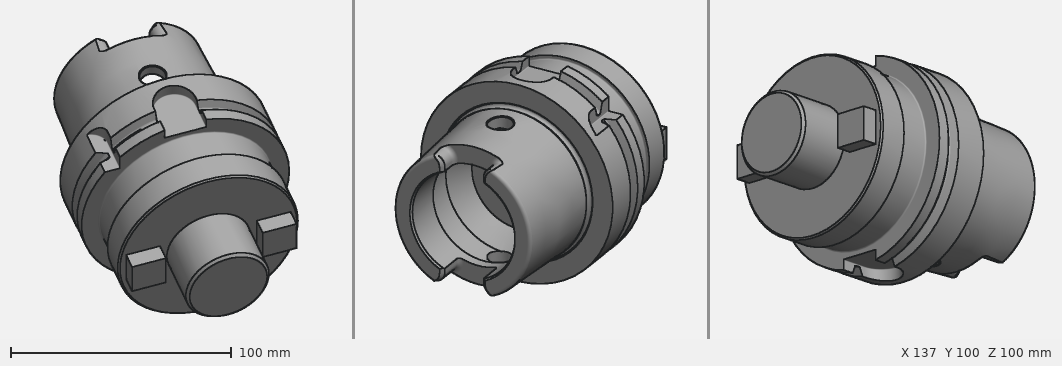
import cadquery as cq
import math


SHANK_TIP_R = 35.6
SHANK_BASE_R = 37.8
SHANK_TIP_ROUND = 1.8
SHANK_END = 47.4
NECK_R = 37.4
NECK_STEP = 0.8
NECK_FILLET = 1.4
UNDERCUT_R = 39.6
UNDERCUT_DEPTH = 0.5

FLANGE_START = 50.0
FLANGE_END = 79.0
FLANGE_R = 50.0
GROOVE_START = 66.5
GROOVE_END = 73.0
GROOVE_R = 46.0
GROOVE_FLOOR_START = 68.4
GROOVE_FLOOR_END = 71.2
GROOVE_FILLET = 1.0

BODY_R = 41.4
BODY_END = 95.5
BODY_FILLET = 0.7
COLLAR_R = 43.4
COLLAR_END = 110.0
COLLAR_CHAMFER = 0.8
PILOT_R = 20.0
PILOT_END = 137.0
PILOT_CHAMFER = 1.4

BORE_MOUTH_R = 27.4
BORE_MOUTH_LENGTH = 1.2
BORE_ENTRY_R = 26.7
BORE_ENTRY_END = 20.3
BORE_CLAMP_R = 31.5
CLAMP_ANGLE = 60.0
FLOOR_CONE_ANGLE = 30.0
BORE_WALL_END = 40.4
BORE_FLOOR_R = 24.7
FLOOR_CONE_LENGTH = (BORE_CLAMP_R - BORE_FLOOR_R) / math.tan(math.radians(FLOOR_CONE_ANGLE))
BORE_FLOOR_X = BORE_WALL_END + FLOOR_CONE_LENGTH
CENTRE_HOLE_R = 11.2
CENTRE_HOLE_CHAMFER = 1.1
CENTRE_HOLE_DEPTH = 27.4

NOTCH_HALF_WIDTH = 10.1
NOTCH_FLARE_R = 5.1
NOTCH_FLARE_Z = 27.0
NOTCH_FILLET = 2.2
NOTCH_ENTRY_CHAMFER = 1.8
TOP_NOTCH_DEPTH = 10.1
BOTTOM_NOTCH_DEPTH = 15.0

CROSS_HOLE_X = 35.0
CROSS_HOLE_R = 6.0
CROSS_HOLE_CHAMFER = 0.4

SLOT_FLOOR_FILLET = 0.4
KEYWAY_START = 54.8
KEYWAY_HALF_WIDTH = 10.0
KEYWAY_FLOOR_Z = 44.0
ORIENT_WALL_Y = -31.5
ORIENT_FLOOR_Z = 31.5
ORIENT_END_R = 7.8

KEY_LENGTH = 8.0
KEY_WIDTH = 16.2
KEY_INNER_Y = 23.3
KEY_OUTER_Y = 39.6

CLEAR = 6.8
PICK_MARGIN = 0.1


def revolve_about_x(outline):
    return outline.close().revolve(360, (0, 0, 0), (1, 0, 0))


def make_turned_body():
    arc_reach = SHANK_TIP_ROUND * (1 - math.sqrt(0.5))
    undercut_x = FLANGE_START + UNDERCUT_DEPTH
    outline = (
        cq.Workplane("XY")
        .moveTo(0, 0)
        .lineTo(0, SHANK_TIP_R - SHANK_TIP_ROUND)
        .threePointArc((arc_reach, SHANK_TIP_R - arc_reach), (SHANK_TIP_ROUND, SHANK_TIP_R))
        .lineTo(SHANK_END, SHANK_BASE_R)
        .lineTo(SHANK_END + NECK_STEP, NECK_R)
        .lineTo(undercut_x - NECK_FILLET, NECK_R)
        .radiusArc((undercut_x, NECK_R + NECK_FILLET), -NECK_FILLET)
        .lineTo(undercut_x, UNDERCUT_R - UNDERCUT_DEPTH)
        .lineTo(FLANGE_START, UNDERCUT_R)
        .lineTo(FLANGE_START, FLANGE_R)
        .lineTo(GROOVE_START, FLANGE_R)
        .lineTo(GROOVE_FLOOR_START, GROOVE_R)
        .lineTo(GROOVE_FLOOR_END, GROOVE_R)
        .lineTo(GROOVE_END, FLANGE_R)
        .lineTo(FLANGE_END, FLANGE_R)
        .lineTo(FLANGE_END, BODY_R + BODY_FILLET)
        .radiusArc((FLANGE_END + BODY_FILLET, BODY_R), -BODY_FILLET)
        .lineTo(BODY_END - BODY_FILLET, BODY_R)
        .radiusArc((BODY_END, BODY_R + BODY_FILLET), -BODY_FILLET)
        .lineTo(BODY_END, COLLAR_R)
        .lineTo(COLLAR_END - COLLAR_CHAMFER, COLLAR_R)
        .lineTo(COLLAR_END, COLLAR_R - COLLAR_CHAMFER)
        .lineTo(COLLAR_END, PILOT_R)
        .lineTo(PILOT_END - PILOT_CHAMFER, PILOT_R)
        .lineTo(PILOT_END, PILOT_R - PILOT_CHAMFER)
        .lineTo(PILOT_END, 0)
    )
    groove_floor = cq.selectors.BoxSelector(
        (GROOVE_FLOOR_START - PICK_MARGIN, -GROOVE_R - PICK_MARGIN, -GROOVE_R - PICK_MARGIN),
        (GROOVE_FLOOR_END + PICK_MARGIN, GROOVE_R + PICK_MARGIN, GROOVE_R + PICK_MARGIN),
        boundingbox=True,
    )
    return revolve_about_x(outline).edges(groove_floor).edges("%CIRCLE").fillet(GROOVE_FILLET)


def make_bore():
    clamp_length = (BORE_CLAMP_R - BORE_ENTRY_R) / math.tan(math.radians(CLAMP_ANGLE))
    outline = (
        cq.Workplane("XY")
        .moveTo(0, 0)
        .lineTo(0, BORE_MOUTH_R)
        .lineTo(BORE_MOUTH_LENGTH, BORE_ENTRY_R)
        .lineTo(BORE_ENTRY_END, BORE_ENTRY_R)
        .lineTo(BORE_ENTRY_END + clamp_length, BORE_CLAMP_R)
        .lineTo(BORE_WALL_END, BORE_CLAMP_R)
        .lineTo(BORE_FLOOR_X, BORE_FLOOR_R)
        .lineTo(BORE_FLOOR_X, CENTRE_HOLE_R + CENTRE_HOLE_CHAMFER)
        .lineTo(BORE_FLOOR_X + CENTRE_HOLE_CHAMFER, CENTRE_HOLE_R)
        .lineTo(BORE_FLOOR_X + CENTRE_HOLE_DEPTH, CENTRE_HOLE_R)
        .lineTo(BORE_FLOOR_X + CENTRE_HOLE_DEPTH, 0)
    )
    return revolve_about_x(outline)


def notch_section(x, growth):
    """Closed notch section in the plane X = x, widened on each side by growth."""
    wall = NOTCH_HALF_WIDTH + growth
    flare = NOTCH_FLARE_R
    flare_mid = flare * (1 - math.sqrt(0.5))
    flare_top = NOTCH_FLARE_Z + flare
    mid_z = NOTCH_FLARE_Z + flare * math.sqrt(0.5)
    return (
        cq.Workplane("YZ", origin=(x, 0, 0))
        .moveTo(-wall, 0)
        .lineTo(-wall, NOTCH_FLARE_Z)
        .threePointArc((-wall - flare_mid, mid_z), (-wall - flare, flare_top))
        .lineTo(-wall - flare - CLEAR, flare_top)
        .lineTo(-wall - flare - CLEAR, flare_top + CLEAR)
        .lineTo(wall + flare + CLEAR, flare_top + CLEAR)
        .lineTo(wall + flare + CLEAR, flare_top)
        .lineTo(wall + flare, flare_top)
        .threePointArc((wall + flare_mid, mid_z), (wall, NOTCH_FLARE_Z))
        .lineTo(wall, 0)
        .close()
    )


def make_notch(depth):
    """Cutter for an upper drive notch: flared walls, a rounded floor corner and a chamfered entry."""
    slot = notch_section(0, 0).extrude(depth)
    entry = cq.Workplane(
        cq.Solid.makeLoft(
            [
                notch_section(0, NOTCH_ENTRY_CHAMFER).wires().val(),
                notch_section(NOTCH_ENTRY_CHAMFER, 0).wires().val(),
            ],
            True,
        )
    )
    side_edges = cq.selectors.BoxSelector(
        (depth - PICK_MARGIN, -NOTCH_HALF_WIDTH - NOTCH_FLARE_R, PICK_MARGIN),
        (depth + PICK_MARGIN, NOTCH_HALF_WIDTH + NOTCH_FLARE_R, NOTCH_FLARE_Z + NOTCH_FLARE_R),
    )
    return slot.edges(side_edges).fillet(NOTCH_FILLET).union(entry)


def cut_cross_hole(body):
    """Drill through both shank walls and chamfer the outer rims."""
    plane = cq.Workplane("XY", origin=(CROSS_HOLE_X, 0, 0))
    drilled = body.cut(plane.circle(CROSS_HOLE_R).extrude(FLANGE_R, both=True))
    reach = CROSS_HOLE_R + PICK_MARGIN
    wall_middle = (BORE_CLAMP_R + SHANK_TIP_R) / 2
    for low, high in ((wall_middle, FLANGE_R), (-FLANGE_R, -wall_middle)):
        rim = cq.selectors.BoxSelector(
            (CROSS_HOLE_X - reach, -reach, low),
            (CROSS_HOLE_X + reach, reach, high),
            boundingbox=True,
        )
        drilled = drilled.edges(rim).chamfer(CROSS_HOLE_CHAMFER)
    return drilled


def make_keyway():
    """Cutter for the upper keyway, with a half-round closed end."""
    centre_x = KEYWAY_START + KEYWAY_HALF_WIDTH
    return (
        cq.Workplane("XY", origin=(0, 0, KEYWAY_FLOOR_Z))
        .moveTo(FLANGE_END, -KEYWAY_HALF_WIDTH)
        .lineTo(centre_x, -KEYWAY_HALF_WIDTH)
        .threePointArc((KEYWAY_START, 0), (centre_x, KEYWAY_HALF_WIDTH))
        .lineTo(FLANGE_END, KEYWAY_HALF_WIDTH)
        .close()
        .extrude(CLEAR)
        .faces("<Z")
        .edges("|X or %CIRCLE")
        .fillet(SLOT_FLOOR_FILLET)
    )


def make_orientation_notch():
    """Cutter for the single corner notch, with a quarter-round closed end."""
    centre_x = KEYWAY_START + ORIENT_END_R
    return (
        cq.Workplane("XY", origin=(0, 0, ORIENT_FLOOR_Z))
        .moveTo(FLANGE_END, ORIENT_WALL_Y)
        .lineTo(centre_x, ORIENT_WALL_Y)
        .radiusArc((KEYWAY_START, ORIENT_WALL_Y - ORIENT_END_R), -ORIENT_END_R)
        .lineTo(KEYWAY_START, -FLANGE_R)
        .lineTo(FLANGE_END, -FLANGE_R)
        .close()
        .extrude(FLANGE_R)
        .faces("<Z")
        .edges(">Y or %CIRCLE")
        .fillet(SLOT_FLOOR_FILLET)
    )


def make_key(side):
    depth = KEY_OUTER_Y - KEY_INNER_Y
    centre_y = side * (KEY_OUTER_Y + KEY_INNER_Y) / 2
    plane = cq.Workplane("YZ", origin=(COLLAR_END, centre_y, 0))
    return plane.rect(depth, KEY_WIDTH).extrude(KEY_LENGTH)


def underside(cutter):
    return cutter.mirror("XY")


result = make_turned_body().cut(make_bore())
result = result.cut(make_notch(TOP_NOTCH_DEPTH))
result = result.cut(underside(make_notch(BOTTOM_NOTCH_DEPTH)))
result = cut_cross_hole(result)
result = result.cut(make_keyway())
result = result.cut(underside(make_keyway()))
result = result.cut(make_orientation_notch())
for side in (-1, 1):
    result = result.union(make_key(side))